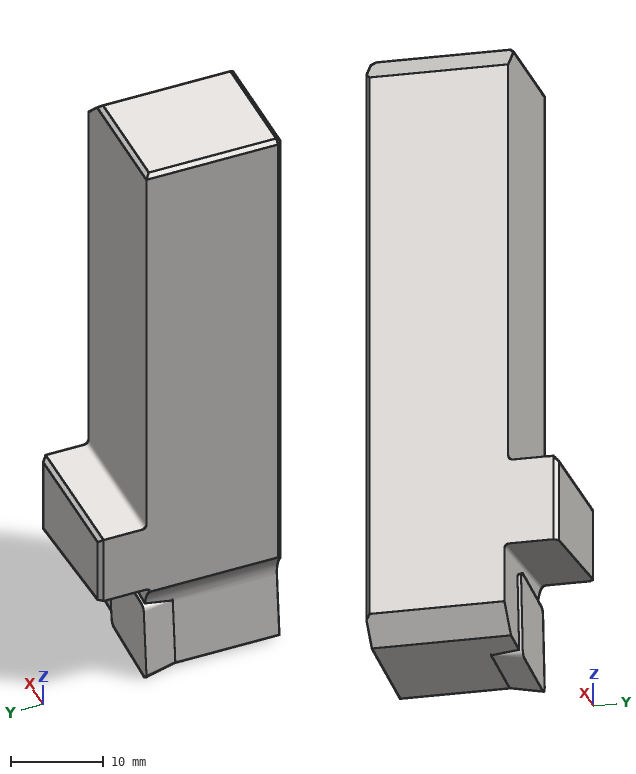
import cadquery as cq
import math

width = 15.95
depth = 15.95
height = 69.95
edge_chamfer = 0.5
corner_chamfer = 2.9

lug_length = 5.5
lug_top = 21.05
lug_bottom_left = 12.6
lug_bottom_right = 11.3
root_radius = 0.55

insert_edge = 9.65
insert_thickness = 3.7
nose_radius = 0.8
clearance_angle = 11.0
lead_angle = 5.0
nose_angle = 90 - 2 * lead_angle

head_relief = 0.4
groove_radius = 4.4
groove_end_height = 8.55

overcut = 7.0
lead_tangent = math.tan(math.radians(lead_angle))
lead_sine = math.sin(math.radians(lead_angle))
lead_cosine = math.cos(math.radians(lead_angle))


def prism(points, y_front, y_back):
    """Extrude a closed XZ polygon between two Y positions."""
    plane = cq.Workplane("XZ", origin=(0, y_back, 0))
    return plane.polyline(points).close().extrude(y_back - y_front)


def corner_offset(radius):
    """Distance along X and Z from the nose centre to the corner of edges tangent to a radius."""
    return radius / math.sin(math.radians(nose_angle / 2)) * math.sqrt(0.5)


def make_insert():
    tip = nose_radius - corner_offset(nose_radius)
    along = insert_edge * lead_cosine
    across = insert_edge * lead_sine
    outline = [
        (tip, tip),
        (tip + along, tip + across),
        (tip + along + across, tip + along + across),
        (tip + across, tip + along),
    ]
    blank = prism(outline, -insert_thickness, 0)
    cutting_outline = blank.edges("|Y").fillet(nose_radius).faces(">Y").wires()
    sketch = cq.Workplane("XZ").add(cutting_outline.val()).toPending()
    return sketch.extrude(insert_thickness, taper=clearance_angle)


def make_shank():
    shank = cq.Workplane("XY").box(width, depth, height, centered=False).translate((0, -depth, 0))
    front_sides = shank.edges("|Z and <Y")
    top_rim = shank.faces(">Z").edges("not(>X)")
    return shank.newObject(front_sides.vals() + top_rim.vals()).chamfer(edge_chamfer)


def make_lug():
    outline = [(0, lug_bottom_left), (width, lug_bottom_right), (width, lug_top), (0, lug_top)]
    lug = prism(outline, -depth / 2, lug_length)
    return lug.faces(">Y").edges("|Z or >Z").chamfer(edge_chamfer)


def make_relief():
    """Space behind the head, below the lug."""
    outline = [(0, -overcut), (width, -overcut), (width, lug_bottom_right), (0, lug_bottom_left)]
    return prism(outline, -head_relief, overcut)


def make_top_corner():
    outline = [(width - corner_chamfer, height), (width, height), (width, height - corner_chamfer)]
    return prism(outline, -depth, 0)


flank_inset = insert_thickness * math.tan(math.radians(clearance_angle))
head_corner = nose_radius - corner_offset(nose_radius - flank_inset)


def make_flank_space():
    """Space left of the head, with a groove tangent to the left flank."""
    tangent_x = head_corner + (groove_end_height - head_corner) * lead_tangent
    centre_x = tangent_x - groove_radius * lead_cosine
    centre_z = groove_end_height + groove_radius * lead_sine
    foot_x = head_corner - (overcut + head_corner) * lead_tangent
    flank = [
        (centre_x, centre_z),
        (tangent_x, groove_end_height),
        (foot_x, -overcut),
        (centre_x, -overcut),
    ]
    groove = cq.Workplane("XZ").center(centre_x, centre_z).circle(groove_radius).extrude(depth)
    return prism(flank, -depth, 0).union(groove)


def make_end_space():
    """Space below the inclined end of the head and its bevelled corner."""
    bevel_x = width - corner_chamfer
    bevel_z = head_corner + (bevel_x - head_corner) * lead_tangent
    start_z = head_corner * (1 - lead_tangent)
    outline = [
        (0, start_z),
        (bevel_x, bevel_z),
        (width, bevel_z + corner_chamfer),
        (width, -overcut),
        (0, -overcut),
    ]
    return prism(outline, -depth, 0)


def make_holder(insert):
    body = make_shank().union(make_lug()).cut(make_relief())
    upper_root = cq.selectors.NearestToPointSelector((width / 2, 0, lug_top))
    lower_middle = (lug_bottom_left + lug_bottom_right) / 2
    lower_root = cq.selectors.NearestToPointSelector((width / 2, -head_relief, lower_middle))
    body = body.edges(upper_root).fillet(root_radius)
    body = body.edges(lower_root).fillet(root_radius)
    body = body.cut(make_top_corner())
    body = body.cut(make_flank_space())
    body = body.cut(make_end_space())
    return body.cut(insert).solids()


insert = make_insert()
holder = make_holder(insert)

result = cq.Compound.makeCompound([holder.val(), insert.val()])